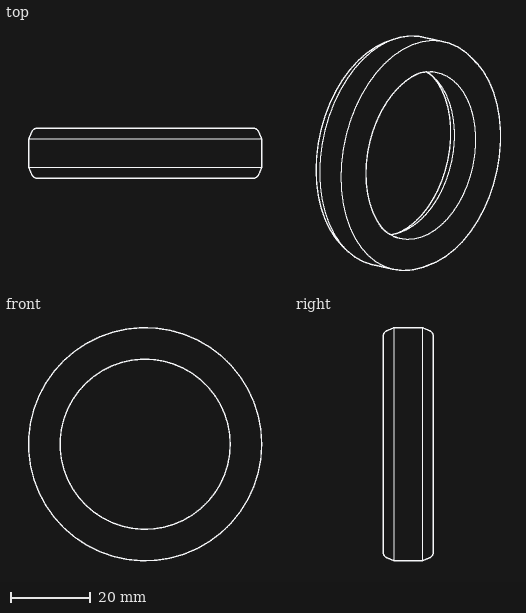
import cadquery as cq

outer_radius = 29.35
bore_radius = 21.4
width = 12.7

bevel_length = 2.75
bevel_depth = 1.2
face_fillet = 1.65

half_width = width / 2
bevel_start = half_width - bevel_length
face_outer_radius = outer_radius - bevel_depth
face_inner_radius = bore_radius + bevel_depth

section = [
    (bore_radius, -bevel_start),
    (face_inner_radius, -half_width),
    (face_outer_radius, -half_width),
    (outer_radius, -bevel_start),
    (outer_radius, bevel_start),
    (face_outer_radius, half_width),
    (face_inner_radius, half_width),
    (bore_radius, bevel_start),
]
ring = cq.Workplane("XY").polyline(section).close().revolve(360, (0, 0, 0), (0, 1, 0))

result = ring.faces("<Y or >Y").edges("%CIRCLE").fillet(face_fillet)